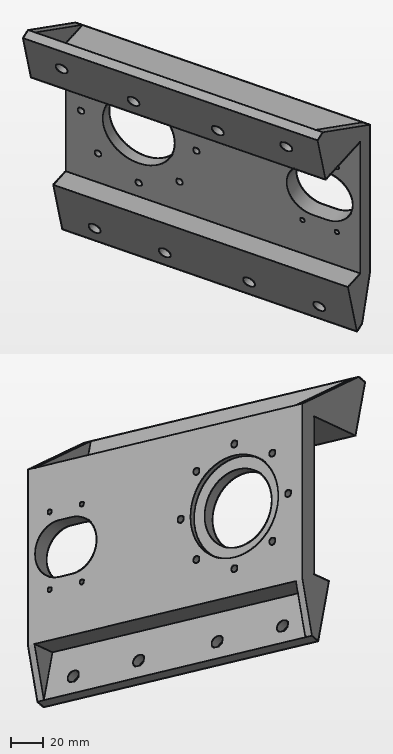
import cadquery as cq
import math

LENGTH = 210.0
DEPTH = 66.8
HEIGHT = 187.0
PLATE_THICKNESS = 12.5

LOWER_LEDGE_Z = 43.0
UPPER_LEDGE_Z = 147.0
BACK_BOTTOM_Z = 36.0
BACK_TOP_Z = 151.8

LEAN = math.radians(15)
LIP = 7.0
LIP_DEPTH = LIP * math.cos(LEAN)
LIP_RISE = LIP * math.sin(LEAN)
LOWER_LEDGE_Y = 38.5

RIB = 5.0
POCKET_FILLET = 5.0

FLANGE_HOLE_DIAMETER = 8.5
OUTER_HOLE_X = 80.0
INNER_HOLE_X = 30.0
UPPER_OUTER_HOLE_Z = 167.2
UPPER_INNER_HOLE_Z = 159.2
LOWER_HOLE_Z = 12.5

OPENING_Z = 95.0
ROUND_X = -53.0
ROUND_DIAMETER = 51.2
ROUND_BORE_DEPTH = 8.6
RECESS_DIAMETER = 67.2
BOLT_CIRCLE_DIAMETER = 82.1
BOLT_COUNT = 8
BOLT_DIAMETER = 4.6
SLOT_X = 76.0
SLOT_LENGTH = 47.0
SLOT_HEIGHT = 37.4
SLOT_SCREW_SPACING_X = 24.5
SLOT_SCREW_SPACING_Z = 51.2
SLOT_SCREW_DIAMETER = 3.2

flange_slope = math.tan(LEAN)
upper_face_z = HEIGHT - LIP_RISE
upper_ledge_y = (upper_face_z - UPPER_LEDGE_Z) * flange_slope
lower_tip_y = LOWER_LEDGE_Y + LOWER_LEDGE_Z * flange_slope
plate_front_y = DEPTH - PLATE_THICKNESS


def extrude_along_x(points, length):
    """Extrude a (Y, Z) outline symmetrically about X = 0."""
    return cq.Workplane("YZ").polyline(points).close().extrude(length / 2, both=True)


def plate_sketch():
    """Workplane on the plate's front, with local axes X and Z."""
    return cq.Workplane("XZ", origin=(0, plate_front_y, OPENING_Z))


def flange_hole(x, y, z):
    """Cylinder square to a leaning face, starting at a point on that face."""
    inward = cq.Vector(0, math.cos(LEAN), math.sin(LEAN))
    start = cq.Vector(x, y, z) - inward * FLANGE_HOLE_DIAMETER
    return cq.Solid.makeCylinder(FLANGE_HOLE_DIAMETER / 2, DEPTH + FLANGE_HOLE_DIAMETER, start, inward)


body = extrude_along_x(
    [
        (DEPTH, BACK_BOTTOM_Z),
        (DEPTH, BACK_TOP_Z),
        (LIP_DEPTH, HEIGHT),
        (0, upper_face_z),
        (upper_ledge_y, UPPER_LEDGE_Z),
        (plate_front_y, UPPER_LEDGE_Z),
        (plate_front_y, LOWER_LEDGE_Z),
        (LOWER_LEDGE_Y, LOWER_LEDGE_Z),
        (lower_tip_y, 0),
        (lower_tip_y + LIP_DEPTH, LIP_RISE),
    ],
    LENGTH,
)

wall_foot_y = LIP_DEPTH + flange_slope * (HEIGHT - BACK_TOP_Z)
pocket = extrude_along_x(
    [
        (DEPTH, BACK_TOP_Z),
        (wall_foot_y, BACK_TOP_Z),
        (LIP_DEPTH, HEIGHT),
        (DEPTH, HEIGHT),
    ],
    LENGTH - 2 * RIB,
)
foot_edge = cq.selectors.NearestToPointSelector((0, wall_foot_y, BACK_TOP_Z))
pocket = pocket.edges("|X").edges(foot_edge).fillet(POCKET_FILLET)
body = body.cut(pocket)

lower_wall_y = lower_tip_y + LIP_DEPTH
lower_pocket = extrude_along_x(
    [
        (DEPTH, BACK_BOTTOM_Z),
        (lower_wall_y - (BACK_BOTTOM_Z - LIP_RISE) * flange_slope, BACK_BOTTOM_Z),
        (lower_wall_y, LIP_RISE),
        (DEPTH, LIP_RISE),
    ],
    LENGTH - 2 * RIB,
)
body = body.cut(lower_pocket)

for side in (-1, 1):
    for hole_x, hole_z in ((OUTER_HOLE_X, UPPER_OUTER_HOLE_Z), (INNER_HOLE_X, UPPER_INNER_HOLE_Z)):
        body = body.cut(flange_hole(side * hole_x, (upper_face_z - hole_z) * flange_slope, hole_z))
    for hole_x in (OUTER_HOLE_X, INNER_HOLE_X):
        hole_y = lower_tip_y - LOWER_HOLE_Z * flange_slope
        body = body.cut(flange_hole(side * hole_x, hole_y, LOWER_HOLE_Z))

round_opening = plate_sketch().center(ROUND_X, 0).circle(ROUND_DIAMETER / 2).extrude(-PLATE_THICKNESS)
rear_recess = (
    plate_sketch()
    .workplane(offset=-ROUND_BORE_DEPTH)
    .center(ROUND_X, 0)
    .circle(RECESS_DIAMETER / 2)
    .extrude(ROUND_BORE_DEPTH - PLATE_THICKNESS)
)
bolt_holes = (
    plate_sketch()
    .center(ROUND_X, 0)
    .polarArray(BOLT_CIRCLE_DIAMETER / 2, 0, 360, BOLT_COUNT)
    .circle(BOLT_DIAMETER / 2)
    .extrude(-PLATE_THICKNESS)
)

slot = plate_sketch().center(SLOT_X, 0).slot2D(SLOT_LENGTH, SLOT_HEIGHT).extrude(-PLATE_THICKNESS)
slot_screws = (
    plate_sketch()
    .center(SLOT_X, 0)
    .rarray(SLOT_SCREW_SPACING_X, SLOT_SCREW_SPACING_Z, 2, 2)
    .circle(SLOT_SCREW_DIAMETER / 2)
    .extrude(-PLATE_THICKNESS)
)

result = body.cut(round_opening).cut(rear_recess).cut(bolt_holes).cut(slot).cut(slot_screws)